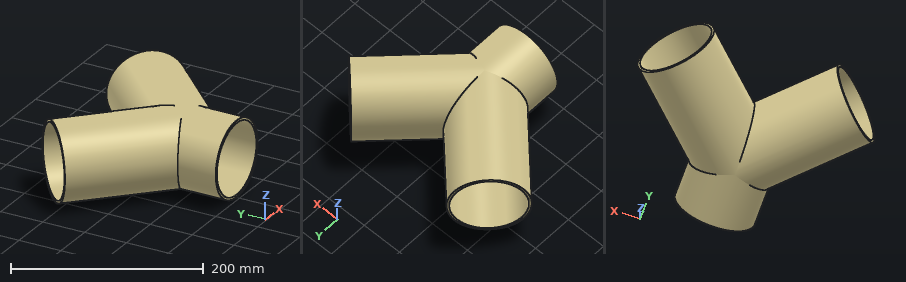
import cadquery as cq
import math

overall_width = 260.5
outer_diameter = 88.8
inner_diameter = 82.8
stem_length = 63.5
branch_angle = 45.0

angle = math.radians(branch_angle)
mouth_half_width = outer_diameter / 2 * math.cos(angle)
branch_length = (overall_width / 2 - mouth_half_width) / math.sin(angle)

legs = [
    (stem_length, cq.Vector(0, -1, 0)),
    (branch_length, cq.Vector(-math.sin(angle), math.cos(angle), 0)),
    (branch_length, cq.Vector(math.sin(angle), math.cos(angle), 0)),
]


def three_way_body(diameter):
    """Join solid cylinders of one diameter along the three leg axes."""
    cylinders = [
        cq.Solid.makeCylinder(diameter / 2, length, cq.Vector(0, 0, 0), direction)
        for length, direction in legs
    ]
    stem, left_branch, right_branch = cylinders
    return cq.Workplane("XY").add(stem).union(left_branch).union(right_branch)


result = three_way_body(outer_diameter).cut(three_way_body(inner_diameter))